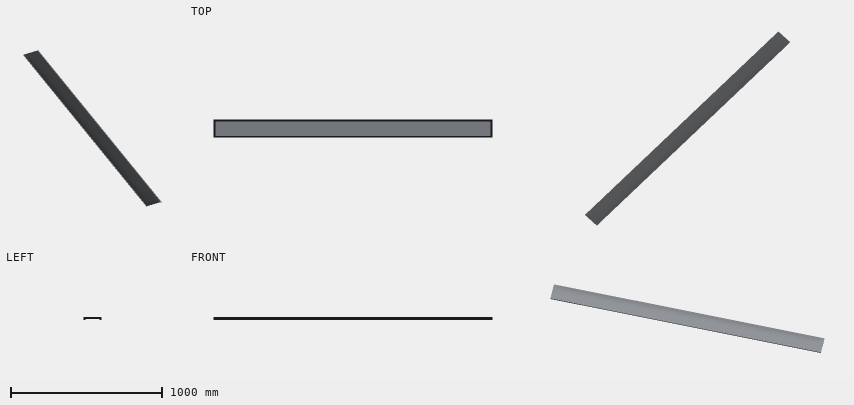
import cadquery as cq

length = 1828.8
width = 107.95
height = 9.4
wall_thickness = 1.7
corner_radius = 0.5

taper_height = 1.9
taper_depth = 0.55

outer_y = width / 2
inner_y = outer_y - wall_thickness
web_underside = height - wall_thickness


def channel_outline():
    """Closed inverted U section in the YZ plane, centred on Y and resting on Z = 0."""
    toe_y = outer_y - taper_depth
    right_half = [
        (inner_y, web_underside),
        (inner_y, 0),
        (toe_y, 0),
        (outer_y, taper_height),
        (outer_y, height),
    ]
    left_half = [(-y, z) for y, z in reversed(right_half)]
    return cq.Workplane("YZ", origin=(-length / 2, 0, 0)).polyline(right_half + left_half).close()


def round_corners(channel):
    """Round the outer and inner long edges where the web meets the flanges."""
    above_taper_z = (taper_height + web_underside) / 2
    corners = cq.selectors.BoxSelector(
        (-length, -width, above_taper_z),
        (length, width, height + wall_thickness),
    )
    return channel.edges("|X").edges(corners).fillet(corner_radius)


result = round_corners(channel_outline().extrude(length))